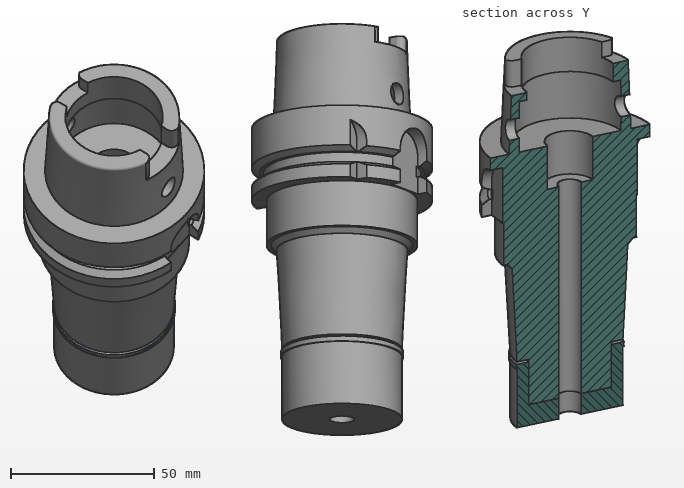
import cadquery as cq
import math

total_length = 137.0
flange_top = 105.0
flange_bottom = 79.0
collar_bottom = 62.9
cone_top = 61.0
cone_bottom = 25.1
nut_height = 24.2

flange_radius = 31.5
collar_radius = 26.3
taper_base_radius = 24.1
taper_tip_radius = 22.7
relief_radius = 24.8
cone_top_radius = 22.9
cone_bottom_radius = 21.0
nose_radius = 16.5
tip_fillet = 1.0

groove_center = 87.1
groove_floor_radius = 27.5
groove_floor_width = 3.7
groove_mouth_width = 6.8
groove_wall_angle = 60.0

cavity_mouth_radius = 17.0
cavity_mouth_depth = 13.0
undercut_radius = 20.0
cavity_floor = flange_top
tube_bore_radius = 8.9
tube_bore_depth = 16.5
coolant_bore_radius = 4.4

cross_hole_radius = 3.8
cross_hole_height = 114.0
key_slot_width = 12.6
shallow_key_depth = 5.9
deep_key_depth = 10.0
key_corner_radius = 2.3
key_corner_reach = 22.7

notch_radius = 8.1
drive_notch_top = 100.1
side_notch_top = 100.7
drive_notch_floor = 26.6
side_notch_floor = 20.3
side_notch_edge = 20.0

nut_radius = 21.0
nut_rim_radius = 21.4
nut_rim_height = 1.8
nose_depth = 16.5


def axial_cylinder(radius, bottom, top):
    """Solid cylinder on the Z axis between two heights."""
    return cq.Workplane("XY").workplane(offset=bottom).circle(radius).extrude(top - bottom)


def make_holder_blank():
    """Turned outer shape of the holder, without the shank."""
    groove_wall_rise = (groove_mouth_width - groove_floor_width) / 2
    groove_edge_radius = flange_radius - groove_wall_rise * math.tan(math.radians(groove_wall_angle))
    return (
        cq.Workplane("XZ")
        .moveTo(0, nut_height - nose_depth)
        .lineTo(nose_radius, nut_height - nose_depth)
        .lineTo(nose_radius, cone_bottom)
        .lineTo(cone_bottom_radius, cone_bottom)
        .lineTo(cone_top_radius, cone_top)
        .lineTo(relief_radius, collar_bottom)
        .lineTo(collar_radius, collar_bottom)
        .lineTo(collar_radius, flange_bottom)
        .lineTo(flange_radius, flange_bottom)
        .lineTo(flange_radius, groove_center - groove_mouth_width / 2)
        .lineTo(groove_edge_radius, groove_center - groove_floor_width / 2)
        .lineTo(groove_floor_radius, groove_center - groove_floor_width / 2)
        .lineTo(groove_floor_radius, groove_center + groove_floor_width / 2)
        .lineTo(groove_edge_radius, groove_center + groove_floor_width / 2)
        .lineTo(flange_radius, groove_center + groove_mouth_width / 2)
        .lineTo(flange_radius, flange_top)
        .lineTo(0, flange_top)
        .close()
        .revolve(360, (0, 0), (0, 1))
    )


def make_key_slot(side, depth):
    """Cutter for a drive key slot with rounded outer corners; side is -1 or +1 along X."""
    half_width = key_slot_width / 2
    arc_y = half_width + key_corner_radius
    arc_x = math.sqrt((key_corner_reach - key_corner_radius) ** 2 - arc_y**2)
    end_angle = math.atan2(arc_y, arc_x)
    middle_angle = (end_angle - math.pi / 2) / 2
    middle_x = arc_x + key_corner_radius * math.cos(middle_angle)
    middle_y = arc_y + key_corner_radius * math.sin(middle_angle)
    end_x = key_corner_reach * math.cos(end_angle)
    end_y = key_corner_reach * math.sin(end_angle)
    return (
        cq.Workplane("XY")
        .workplane(offset=total_length - depth)
        .moveTo(0, -half_width)
        .lineTo(side * arc_x, -half_width)
        .threePointArc((side * middle_x, -middle_y), (side * end_x, -end_y))
        .lineTo(side * flange_radius, -end_y)
        .lineTo(side * flange_radius, end_y)
        .lineTo(side * end_x, end_y)
        .threePointArc((side * middle_x, middle_y), (side * arc_x, half_width))
        .lineTo(0, half_width)
        .close()
        .extrude(depth)
    )


def make_cavity():
    """Clamping cavity: cylindrical mouth stepping out to a wider undercut."""
    mouth = axial_cylinder(cavity_mouth_radius, cavity_floor, total_length)
    return mouth.union(axial_cylinder(undercut_radius, cavity_floor, total_length - cavity_mouth_depth))


def make_shank():
    """Hollow tapered shank with a rounded tip and two key slots."""
    return (
        cq.Workplane("XZ")
        .moveTo(0, flange_top)
        .lineTo(taper_base_radius, flange_top)
        .lineTo(taper_tip_radius, total_length)
        .lineTo(0, total_length)
        .close()
        .revolve(360, (0, 0), (0, 1))
        .faces(">Z")
        .edges()
        .fillet(tip_fillet)
        .cut(make_cavity())
        .cut(make_key_slot(-1, shallow_key_depth))
        .cut(make_key_slot(1, deep_key_depth))
    )


def make_flange_notch(side, floor_x, center_y, top):
    """Cutter for a round-topped notch, open at the flange bottom, from |X| = floor_x outward."""
    depth = flange_radius - floor_x
    arch_height = top - notch_radius
    arch = (
        cq.Workplane("YZ")
        .moveTo(center_y - notch_radius, flange_bottom)
        .lineTo(center_y - notch_radius, arch_height)
        .threePointArc((center_y, top), (center_y + notch_radius, arch_height))
        .lineTo(center_y + notch_radius, flange_bottom)
        .close()
        .extrude(side * depth)
    )
    return arch.translate((side * floor_x, 0, 0))


def make_holder():
    """Complete tool holder: turned body and shank with bores, cross hole and flange notches."""
    holder = make_holder_blank().union(make_shank())
    holder = holder.cut(axial_cylinder(tube_bore_radius, cavity_floor - tube_bore_depth, cavity_floor))
    holder = holder.cut(axial_cylinder(coolant_bore_radius, 0, cavity_floor))
    cross_hole = (
        cq.Workplane("YZ")
        .center(0, cross_hole_height)
        .circle(cross_hole_radius)
        .extrude(flange_radius, both=True)
    )
    holder = holder.cut(cross_hole)
    for side in (-1, 1):
        holder = holder.cut(make_flange_notch(side, drive_notch_floor, 0, drive_notch_top))
    side_notch_center = side_notch_edge + notch_radius
    return holder.cut(make_flange_notch(-1, side_notch_floor, side_notch_center, side_notch_top))


def make_nut():
    """Clamping nut with a rim at its top and a recess for the holder nose."""
    nut = axial_cylinder(nut_radius, 0, nut_height)
    nut = nut.union(axial_cylinder(nut_rim_radius, nut_height - nut_rim_height, nut_height))
    nut = nut.cut(axial_cylinder(nose_radius, nut_height - nose_depth, nut_height))
    return nut.cut(axial_cylinder(coolant_bore_radius, 0, nut_height))


holder = make_holder()
nut = make_nut()
result = cq.Compound.makeCompound([holder.val(), nut.val()])